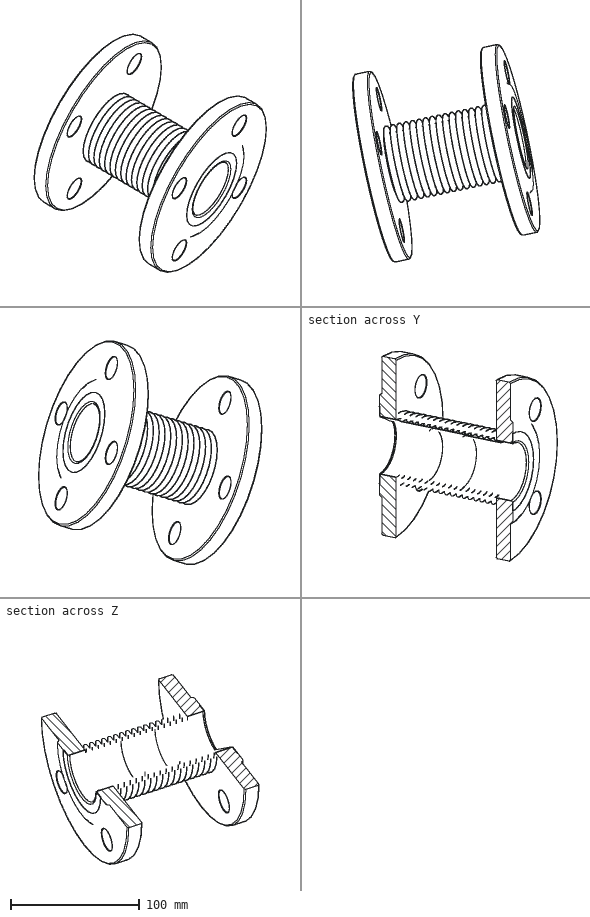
import cadquery as cq
import math

overall_length = 120.0
end_x = overall_length / 2

raised_flat_radius = 41.5
raised_top_rounding = 1.4
raised_foot_rounding = 0.8
raised_slope_width = 1.0
raised_slope_angle = math.radians(53)

flange_diameter = 150.0
flange_thickness = 13.2
flange_chamfer = 1.0
rounding_height = (raised_top_rounding + raised_foot_rounding) * (1 - math.cos(raised_slope_angle))
raised_height = rounding_height + raised_slope_width * math.tan(raised_slope_angle)
flange_face_x = end_x - raised_height
flange_back_x = flange_face_x - flange_thickness

bolt_count = 4
first_bolt_angle = math.radians(45)
bolt_hole_diameter = 18.0
bolt_circle_diameter = 110.1
bolt_hole_chamfer = 0.5

sheet = 0.3
lip_diameter = 65.0
neck_bore = 46.6
mouth_radius = 1.8
neck_length = 1.0
taper_length = 12.6
inner_sleeve_bore = 41.4
outer_sleeve_bore = 42.6
sleeve_overlap = 30.0
mouth_x = end_x - mouth_radius
mouth_center_radius = neck_bore / 2 + mouth_radius
taper_start_x = mouth_x - neck_length
taper_end_x = taper_start_x - taper_length
sleeve_end_x = -sleeve_overlap / 2

bellows_diameter = 48.3
bellows_radius = bellows_diameter / 2
crest_radius = 30.6
ring_count = 17
crest_span = 83.7
ring_pitch = crest_span / (ring_count - 1)
ring_width = 3.2
bellows_end_x = mouth_x


def revolve_about_x(outline):
    """Turn an (x, radius) outline into a solid around the X axis."""
    return outline.close().revolve(360, (0, 0, 0), (1, 0, 0))


def add_raised_face(outline):
    """Continue a flange outline from the flange face over the raised face to its flat top."""
    half_angle = raised_slope_angle / 2
    top_width = raised_top_rounding * math.sin(raised_slope_angle)
    top_drop = raised_top_rounding * (1 - math.cos(raised_slope_angle))
    foot_width = raised_foot_rounding * math.sin(raised_slope_angle)
    foot_rise = raised_foot_rounding * (1 - math.cos(raised_slope_angle))

    slope_top = (end_x - top_drop, raised_flat_radius + top_width)
    slope_foot = (flange_face_x + foot_rise, slope_top[1] + raised_slope_width)
    foot = (flange_face_x, slope_foot[1] + foot_width)
    foot_middle = (
        foot[0] + raised_foot_rounding * (1 - math.cos(half_angle)),
        foot[1] - raised_foot_rounding * math.sin(half_angle),
    )
    top_middle = (
        end_x - raised_top_rounding * (1 - math.cos(half_angle)),
        raised_flat_radius + raised_top_rounding * math.sin(half_angle),
    )
    return (
        outline.lineTo(*foot)
        .threePointArc(foot_middle, slope_foot)
        .lineTo(*slope_top)
        .threePointArc(top_middle, (end_x, raised_flat_radius))
    )


def make_flange():
    """Flange on the +X end, with raised face, lip recess and bolt holes."""
    rim = flange_diameter / 2
    outline = (
        cq.Workplane("XY")
        .moveTo(flange_back_x, bellows_radius)
        .lineTo(flange_back_x, rim - flange_chamfer)
        .lineTo(flange_back_x + flange_chamfer, rim)
        .lineTo(flange_face_x - flange_chamfer, rim)
        .lineTo(flange_face_x, rim - flange_chamfer)
    )
    outline = (
        add_raised_face(outline)
        .lineTo(end_x, lip_diameter / 2)
        .lineTo(end_x - sheet, lip_diameter / 2)
        .lineTo(end_x - sheet, mouth_center_radius)
        .lineTo(mouth_x, bellows_radius)
    )
    return revolve_about_x(outline).cut(make_bolt_hole_cutters())


def make_bolt_hole_cutters():
    """Bolt holes through the +X flange, chamfered at both faces."""
    bore = bolt_hole_diameter / 2
    mouth = bore + bolt_hole_chamfer
    cutter = revolve_about_x(
        cq.Workplane("XY")
        .moveTo(flange_back_x, 0)
        .lineTo(flange_back_x, mouth)
        .lineTo(flange_back_x + bolt_hole_chamfer, bore)
        .lineTo(flange_face_x - bolt_hole_chamfer, bore)
        .lineTo(flange_face_x, mouth)
        .lineTo(flange_face_x, 0)
    )
    cutters = cq.Workplane("XY")
    for i in range(bolt_count):
        angle = first_bolt_angle + i * 2 * math.pi / bolt_count
        y = bolt_circle_diameter / 2 * math.cos(angle)
        z = bolt_circle_diameter / 2 * math.sin(angle)
        cutters = cutters.add(cutter.translate((0, y, z)))
    return cutters.combine()


def mouth_arc_middle(radius):
    """Middle point of a quarter arc around the centre of the mouth rounding."""
    step = radius * math.sqrt(0.5)
    return (mouth_x + step, mouth_center_radius - step)


def make_liner(sleeve_bore):
    """Liner whose lip lies flush in the +X end face and whose sleeve points to -X."""
    neck = neck_bore / 2
    sleeve = sleeve_bore / 2
    lip = lip_diameter / 2
    return revolve_about_x(
        cq.Workplane("XY")
        .moveTo(end_x, lip)
        .lineTo(end_x, mouth_center_radius)
        .threePointArc(mouth_arc_middle(mouth_radius), (mouth_x, neck))
        .lineTo(taper_start_x, neck)
        .lineTo(taper_end_x, sleeve)
        .lineTo(sleeve_end_x, sleeve)
        .lineTo(sleeve_end_x, sleeve + sheet)
        .lineTo(taper_end_x, sleeve + sheet)
        .lineTo(taper_start_x, neck + sheet)
        .lineTo(mouth_x, neck + sheet)
        .threePointArc(mouth_arc_middle(mouth_radius - sheet), (end_x - sheet, mouth_center_radius))
        .lineTo(end_x - sheet, lip)
    )


def corrugated_rod(root, crest, half_width):
    """Solid rod with round-crested rings, round roots between them and plain ends."""
    root_rounding = ring_pitch / 2 - half_width
    root_step = root_rounding * math.sqrt(0.5)
    crest_step = half_width * math.sqrt(0.5)
    crest_center = crest - half_width
    root_center = root + root_rounding
    first_crest_x = -crest_span / 2
    first_root_x = first_crest_x - ring_pitch / 2

    outline = (
        cq.Workplane("XY")
        .moveTo(-bellows_end_x, 0)
        .lineTo(-bellows_end_x, root)
        .lineTo(first_root_x, root)
    )
    for i in range(ring_count):
        x = first_crest_x + i * ring_pitch
        root_before = x - ring_pitch / 2
        root_after = x + ring_pitch / 2
        outline = (
            outline.threePointArc((root_before + root_step, root_center - root_step), (x - half_width, root_center))
            .lineTo(x - half_width, crest_center)
            .threePointArc((x - crest_step, crest_center + crest_step), (x, crest))
            .threePointArc((x + crest_step, crest_center + crest_step), (x + half_width, crest_center))
            .lineTo(x + half_width, root_center)
            .threePointArc((root_after - root_step, root_center - root_step), (root_after, root))
        )
    return revolve_about_x(outline.lineTo(bellows_end_x, root).lineTo(bellows_end_x, 0))


def make_bellows():
    """Thin-walled bellows of constant sheet thickness with an open bore."""
    outside = corrugated_rod(bellows_radius, crest_radius, ring_width / 2)
    inside = corrugated_rod(bellows_radius - sheet, crest_radius - sheet, ring_width / 2 - sheet)
    return outside.cut(inside)


right_flange = make_flange()
left_flange = right_flange.mirror("YZ")
left_liner = make_liner(inner_sleeve_bore).mirror("YZ")
right_liner = make_liner(outer_sleeve_bore)
bellows = make_bellows()

result = cq.Compound.makeCompound(
    [left_flange.val(), right_flange.val(), left_liner.val(), right_liner.val(), bellows.val()]
)